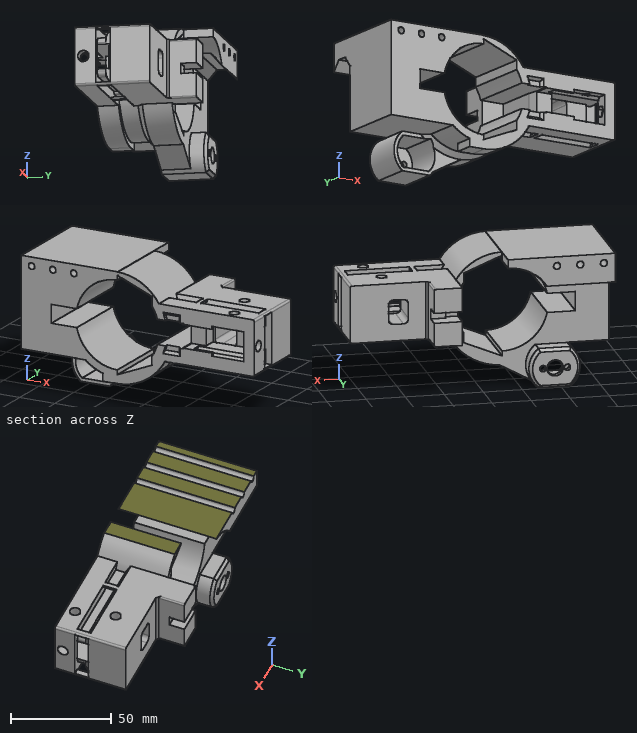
import cadquery as cq
import math


left_x = -54.8
length = 132.6
right_x = left_x + length
body_depth = 38.5
full_depth = 53.5

block_top_z = 28.1
ring_radius = 28.0
bore_radius = 23.6
block_right_x = 0.3
block_bottom_z = -21.2
hang_flat_z = 18.5
hang_flank_run = 4.6
hang_flank_rise = 5.5
flare_x = 19.6
flare_outer_z = 26.1
flare_inner_z = 18.0
key_slot_x = -37.5
key_slot_height = 10.0
pin_hole_radius = 1.7
pin_hole_z = 23.3
pin_hole_xs = (-48.8, -36.7, -24.8)

lug_radius = 30.9
lug_left_x = -8.2
lug_depth = 11.0
web_front_y = 23.2
web_cone_length = lug_radius - ring_radius

boss_x = -25.2
boss_bottom_z = -41.8
boss_z = (block_bottom_z + boss_bottom_z) / 2
boss_radius = 13.1
boss_half_height = (block_bottom_z - boss_bottom_z) / 2
boss_wall = 2.0
boss_back_y = 47.5
boss_floor = 3.0
boss_chamfer = 1.6
shaft_radius = 4.1
screw_radius = 1.6
screw_offset = 6.2
web_foot_x = -15.1
web_foot_z = -39.9
web_top_x = 1.3

arm_left_x = 23.6
arm_half_height = 15.0
edge_round = 1.0
tab_edge_round = 0.8
tab_foot_chamfer = 1.0
tab_right_x = 38.0
tab_slot_height = 5.2
tab_slot_y = 43.1
tab_slot_shallow_y = 45.3
tab_slot_step_x = 30.5

recess_half_height = 6.6
recess_x = 36.0
step_x = 37.1
step_y = 8.8
step_slope_depth = 5.8
cavity_half_height = 6.2
cavity_left_x = 45.7
cavity_back_y = 15.9
cavity_right_x = 71.7
slide_half_height = 7.8
slide_left_x = 42.7
slide_open_x = 53.6
slide_lip = 1.7
slide_flat_y = 4.9
port_left_x = 47.0
port_right_x = 59.1
port_corner = 2.7
port_draft = 2.5
port_half_height = 7.3
cord_hole_radius = 2.8
cord_hole_y = 4.4
pocket_half_height = 10.9
pocket_left_x = 26.0
pocket_right_x = 35.7
pocket_depth = 1.7
pocket_inset = 1.5
pocket_left_inset = 0.4
pocket_lean = 3.5

strap_front_y = 10.9
strap_back_y = 18.2
strap_wall_angle = 30
strap_floor_z = 10.0
strap_bore_floor_z = 11.3
strap_bore_floor_x = 35.5
strap_end_x = 74.5
strap_end_round = 2.7
bridge_left_x = 39.0
bridge_right_x = 41.5
bridge_thickness = 1.2
strap_gap_x = 70.7

top_holes = ((58.7, 24.9, 8.4), (63.8, 5.0, 7.5))
top_hole_radius = 2.7
top_hole_tip_radius = 1.9


def box(x0, x1, y0, y1, z0, z1):
    """Axis-aligned block between two opposite corners."""
    return cq.Workplane("XY").box(x1 - x0, y1 - y0, z1 - z0, centered=False).translate((x0, y0, z0))


def at_y(y):
    """Workplane at depth y facing -Y, with local axes along X and Z."""
    return cq.Workplane(cq.Plane((0, y, 0), xDir=(1, 0, 0), normal=(0, -1, 0)))


def rod_y(x, z, radius, y0, y1):
    """Cylinder along Y."""
    return at_y(y0).center(x, z).circle(radius).extrude(y0 - y1)


def prism_y(points, y0, y1):
    """Polygon of (x, z) points extruded along Y."""
    return at_y(y0).polyline(points).close().extrude(y0 - y1)


def prism_x(points, x0, x1):
    """Polygon of (y, z) points extruded along X."""
    return cq.Workplane("YZ", origin=(x0, 0, 0)).polyline(points).close().extrude(x1 - x0)


def mirrored_z(shape):
    """Shape together with its mirror image about z = 0."""
    return shape.union(shape.mirror("XY"))


def clamp_block():
    """Square block whose upper part overhangs the rear, with a tunnel beneath."""
    block = box(left_x, block_right_x, 0, full_depth, block_bottom_z, block_top_z)
    foot_z = hang_flat_z - hang_flank_rise
    tunnel = [
        (body_depth, block_bottom_z),
        (body_depth, foot_z),
        (body_depth + hang_flank_run, hang_flat_z),
        (full_depth - hang_flank_run, hang_flat_z),
        (full_depth, foot_z),
        (full_depth, block_bottom_z),
    ]
    return block.cut(prism_x(tunnel, left_x, block_right_x))


def ring():
    body = rod_y(0, 0, ring_radius, 0, body_depth)
    lower_right = box(lug_left_x, lug_radius, 0, lug_depth, -lug_radius, 0)
    lug = rod_y(0, 0, lug_radius, 0, lug_depth).intersect(lower_right)
    lug = lug.union(box(lug_left_x, 0, 0, lug_depth, -lug_radius, -bore_radius))
    return body.union(lug)


def web():
    """Thick lower half of the ring, coned at its front, with a gusset to the boss."""
    thick = rod_y(0, 0, lug_radius, web_front_y, body_depth)
    cone = cq.Solid.makeCone(
        ring_radius, lug_radius, web_cone_length,
        pnt=cq.Vector(0, web_front_y - web_cone_length, 0), dir=cq.Vector(0, 1, 0),
    )
    lower = box(boss_x, lug_radius, 0, body_depth, -lug_radius, -arm_half_height)
    gusset = [(boss_x, block_bottom_z), (boss_x, web_foot_z), (web_foot_x, web_foot_z),
              (web_top_x, -lug_radius), (web_top_x, block_bottom_z)]
    return thick.union(cq.Workplane(cone)).intersect(lower).union(prism_y(gusset, web_front_y, body_depth))


def flatted_disc(radius, half_height, y0, y1):
    """Round boss shape with flats above and below."""
    disc = rod_y(boss_x, boss_z, radius, y0, y1)
    band = box(boss_x - radius, boss_x + radius, y0, y1, boss_z - half_height, boss_z + half_height)
    return disc.intersect(band)


def boss():
    body = flatted_disc(boss_radius, boss_half_height, web_front_y, boss_back_y)
    return body.faces(">Y").edges().chamfer(boss_chamfer)


def boss_cuts():
    cuts = flatted_disc(
        boss_radius - boss_wall, boss_half_height - boss_wall,
        web_front_y - web_cone_length, boss_back_y - boss_floor,
    )
    for offset, radius in ((0, shaft_radius), (-screw_offset, screw_radius), (screw_offset, screw_radius)):
        cuts = cuts.union(rod_y(boss_x + offset, boss_z, radius, web_front_y, boss_back_y))
    return cuts


def arm():
    bar = box(arm_left_x, right_x, 0, body_depth, -arm_half_height, arm_half_height)
    bar = bar.edges("|Y and >X").fillet(edge_round)
    tab = box(arm_left_x, tab_right_x, body_depth, full_depth, -arm_half_height, arm_half_height)
    tab = tab.edges("|Y and >X").fillet(tab_edge_round)
    foot = [(tab_right_x - tab_foot_chamfer, body_depth),
            (tab_right_x + tab_foot_chamfer, body_depth),
            (tab_right_x - tab_foot_chamfer, body_depth + 2 * tab_foot_chamfer)]
    foot_wedge = (cq.Workplane("XY", origin=(0, 0, -arm_half_height)).polyline(foot).close()
                  .extrude(2 * arm_half_height))
    half_slot = tab_slot_height / 2
    slot = box(arm_left_x, tab_slot_step_x, tab_slot_y, full_depth, -half_slot, half_slot)
    slot = slot.union(
        box(tab_slot_step_x, tab_right_x, tab_slot_shallow_y, full_depth, -half_slot, half_slot)
    )
    return bar.union(tab).union(foot_wedge).cut(slot)


def bore():
    flare = [(0, flare_outer_z), (flare_x, flare_inner_z), (flare_x, -flare_inner_z), (0, -flare_outer_z)]
    key_slot = box(key_slot_x, 0, 0, full_depth, -key_slot_height / 2, key_slot_height / 2)
    block_side = box(-bore_radius, block_right_x, 0, full_depth, -bore_radius, bore_radius)
    through = rod_y(0, 0, bore_radius, 0, full_depth).intersect(block_side)
    opening = rod_y(0, 0, bore_radius, 0, body_depth).union(prism_y(flare, 0, body_depth)).union(through)
    return opening.union(key_slot)


def pin_holes():
    pins = at_y(0).pushPoints([(x, pin_hole_z) for x in pin_hole_xs])
    return pins.circle(pin_hole_radius).extrude(-full_depth)


def recess():
    """Opening from the bore into the arm, with a leaning end wall and shallow clip pockets."""
    outline = [(0, 0), (step_x, 0), (step_x, step_y), (recess_x, step_y + step_slope_depth),
               (recess_x, body_depth), (0, body_depth)]
    slot = (cq.Workplane("XY", origin=(0, 0, -recess_half_height)).polyline(outline).close()
            .extrude(2 * recess_half_height))

    def clip_outline(inset, left_inset):
        top = pocket_half_height - inset
        right = pocket_right_x - inset
        left = pocket_left_x + left_inset
        return [(left, top), (right, top), (right, -top), (left, -top), (left + pocket_lean, 0)]

    clip = (at_y(0).polyline(clip_outline(0, 0)).close().workplane(offset=-pocket_depth)
            .polyline(clip_outline(pocket_inset, pocket_left_inset)).close().loft(ruled=True))
    return slot.union(clip)


def cavity():
    """Stepped cavity in the arm, its slide-in groove, rear port and cord hole."""
    half = cavity_half_height
    entry = box(recess_x, cavity_right_x, 0, step_y, -half, half)
    back = slide_flat_y + slide_half_height - half
    deep = box(cavity_left_x, strap_end_x, back, cavity_back_y, -half, half)

    def groove(front_y, x0):
        profile = [(front_y, -slide_half_height), (slide_flat_y, -slide_half_height), (back, -half),
                   (back, half), (slide_flat_y, slide_half_height), (front_y, slide_half_height)]
        return prism_x(profile, x0, cavity_right_x)

    port = (at_y(cavity_back_y).center((port_left_x + port_right_x) / 2, 0)
            .rect(port_right_x - port_left_x, 2 * port_half_height)
            .extrude(cavity_back_y - body_depth, taper=port_draft).edges("not(#Y)").fillet(port_corner))
    cord = cq.Workplane("YZ", origin=(cavity_right_x, 0, 0)).center(cord_hole_y, 0)
    cord = cord.circle(cord_hole_radius).extrude(right_x - cavity_right_x)
    return (entry.union(deep).union(groove(0, slide_open_x)).union(groove(slide_lip, slide_left_x))
            .union(port).union(cord))


def strap_channel():
    """Strap path: slots in the top and bottom, tunnels under the bridges, out at the arm's end."""
    top = arm_half_height
    lean = math.tan(math.radians(strap_wall_angle))
    profile = [(strap_front_y, 0), (strap_front_y, top), (strap_back_y, top),
               (strap_back_y - lean * (top - strap_floor_z), strap_floor_z),
               (strap_back_y - lean * (top - strap_floor_z), 0)]
    step = strap_bore_floor_z - strap_floor_z
    core = (cq.Workplane("XZ").moveTo(0, strap_bore_floor_z)
            .lineTo(strap_bore_floor_x, strap_bore_floor_z)
            .radiusArc((strap_bore_floor_x + step, strap_floor_z), step)
            .lineTo(strap_end_x - strap_end_round, strap_floor_z)
            .radiusArc((strap_end_x, strap_floor_z - strap_end_round), strap_end_round)
            .lineTo(strap_end_x, 0).lineTo(0, 0).close().extrude(-body_depth))
    tunnel_top = top - bridge_thickness
    path = prism_x(profile, arm_left_x, right_x).cut(core)
    path = path.cut(rod_y(0, 0, ring_radius, 0, body_depth))
    for x0, x1 in ((bridge_left_x, bridge_right_x), (strap_end_x, right_x)):
        path = path.cut(box(x0, x1, 0, body_depth, tunnel_top, top))
    gap = box(strap_gap_x, strap_end_x, strap_front_y, strap_back_y, 0, cavity_half_height)
    end_window = box(strap_end_x, right_x, strap_front_y, strap_back_y, 0, tunnel_top)
    return mirrored_z(path.union(gap).union(end_window))


def screw_hole(x, y, bottom_z):
    """Tapered hole sunk from the top of the arm."""
    cone = cq.Solid.makeCone(
        top_hole_radius, top_hole_tip_radius, arm_half_height - bottom_z,
        pnt=cq.Vector(x, y, arm_half_height), dir=cq.Vector(0, 0, -1),
    )
    return cq.Workplane(cone)


result = clamp_block().union(ring()).union(web()).union(boss()).union(arm())
cuts = [bore(), pin_holes(), boss_cuts(), recess(), cavity(), strap_channel()]
cuts += [screw_hole(*hole) for hole in top_holes]
for cut in cuts:
    result = result.cut(cut)